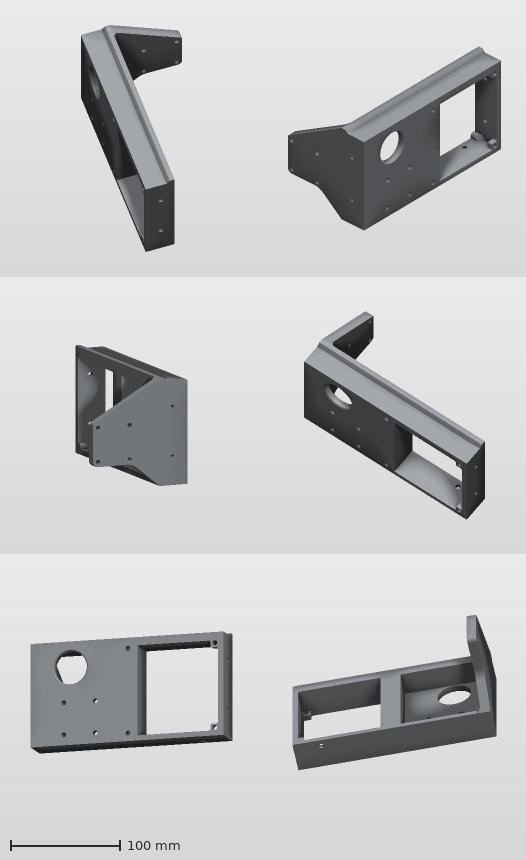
import cadquery as cq
import math

length = 185.0
total_depth = 95.0
height = 100.0
body_depth = 28.0
side_plate = 8.9

ridge_drop = 3.1
ridge_front = 23.3
roof_height = height - ridge_drop

plate_low = 22.4
plate_high = 62.2
plate_bend = 55.5
plate_low_radius = 4.6
plate_high_radius = 3.1
plate_bend_radius = 14.8
gusset = 3.7

window_left = 102.7
window_right = 179.7
window_bottom = 4.8
window_top = 89.0
front_wall = 6.7
divider_width = 18.5
divider_left = window_left - divider_width
pocket_left = side_plate + gusset

tab_left = 172.7
tab_height = 6.5
tab_thickness = 5.4
tab_fillet = 1.5

screw_diameter = 4.6
screw_left = 93.5
screw_right = 176.7
screw_low = 7.4
screw_high = 86.8
blind_depth = tab_thickness
boss_x = 177.5
boss_z = 6.7
boss_radius = 3.7
boss_tip = 15.5
lens_x = 38.3
lens_z = 72.5
lens_diameter = 31.0
lens_chamfer = 1.0
mount_left = 32.0
mount_low = 9.8
mount_pitch = 30.0

plate_hole_diameter = 4.5
plate_hole_near = 58.1
plate_hole_far = 90.0
plate_hole_low = 26.8
plate_hole_high = 58.7
left_wall_hole_diameter = 3.1
right_wall_hole_diameter = 4.5
wall_hole_y = 15.0
wall_hole_low = 27.0
wall_hole_high = 73.1
floor_hole_x = 159.2
floor_hole_y = 21.7


def block(x0, x1, y0, y1, z0, z1):
    return cq.Workplane("XY").box(x1 - x0, y1 - y0, z1 - z0, centered=False).translate((x0, y0, z0))


def y_cylinder(x, z, radius, y0, y1):
    return cq.Workplane(cq.Solid.makeCylinder(radius, y1 - y0, cq.Vector(x, y0, z), cq.Vector(0, 1, 0)))


def x_cylinder(y, z, radius, x0, x1):
    return cq.Workplane(cq.Solid.makeCylinder(radius, x1 - x0, cq.Vector(x0, y, z), cq.Vector(1, 0, 0)))


def body_outline():
    return (
        cq.Workplane("YZ")
        .moveTo(0, 0)
        .lineTo(body_depth, 0)
        .lineTo(body_depth, height)
        .lineTo(ridge_front, height)
        .lineTo(ridge_front - ridge_drop, roof_height)
        .lineTo(0, roof_height)
        .close()
    )


def tapered_plate(thickness):
    """Rear extension of the side plate, starting at the left face."""
    plate = (
        cq.Workplane("YZ")
        .moveTo(body_depth, 0)
        .lineTo(plate_bend, plate_low)
        .lineTo(total_depth, plate_low)
        .lineTo(total_depth, plate_high)
        .lineTo(body_depth, height)
        .close()
        .extrude(thickness)
    )
    reach = plate_high_radius / 10

    def corner(y, z):
        return cq.selectors.BoxSelector((0, y - reach, z - reach), (thickness, y + reach, z + reach))

    plate = plate.edges(corner(total_depth, plate_low)).fillet(plate_low_radius)
    plate = plate.edges(corner(total_depth, plate_high)).fillet(plate_high_radius)
    return plate.edges(corner(plate_bend, plate_low)).fillet(plate_bend_radius)


def gusset_strip():
    """Triangular strip between the side plate and the housing, trimmed to the plate outline."""
    strip = (
        cq.Workplane("XY")
        .moveTo(side_plate, body_depth)
        .lineTo(side_plate + gusset, body_depth)
        .lineTo(side_plate, body_depth + gusset)
        .close()
        .extrude(height)
    )
    return strip.intersect(tapered_plate(side_plate + gusset))


def window_front():
    """Window through the front skin, notched around the two corner tabs."""
    return (
        cq.Workplane("XZ")
        .moveTo(window_left, window_bottom)
        .lineTo(tab_left, window_bottom)
        .lineTo(tab_left, window_bottom + tab_height)
        .lineTo(window_right, window_bottom + tab_height)
        .lineTo(window_right, window_top - tab_height)
        .lineTo(tab_left, window_top - tab_height)
        .lineTo(tab_left, window_top)
        .lineTo(window_left, window_top)
        .close()
        .extrude(-tab_thickness)
        .edges("|Y and (not <X)")
        .fillet(tab_fillet)
    )


def rear_boss():
    """Round boss in the lower rear corner, its front end sloping back away from the corner."""
    slope_plane = cq.Plane(
        origin=(window_right, boss_tip, window_bottom),
        xDir=(1, 0, 1),
        normal=(-1, -math.sqrt(2), 1),
    )
    trim_size = 4 * body_depth
    trim = cq.Workplane(slope_plane).rect(trim_size, trim_size).extrude(trim_size)
    return y_cylinder(boss_x, boss_z, boss_radius, tab_thickness, body_depth).cut(trim)


result = body_outline().extrude(length).union(tapered_plate(side_plate)).union(gusset_strip())

result = result.cut(block(pocket_left, divider_left, front_wall, body_depth, window_bottom, window_top))
result = result.cut(block(window_left, window_right, tab_thickness, body_depth, window_bottom, window_top))
result = result.cut(window_front())
result = result.union(rear_boss())

for screw_x in (screw_left, screw_right):
    for screw_z in (screw_low, screw_high):
        is_through = screw_x == screw_right and screw_z == screw_high
        depth = body_depth if is_through else blind_depth
        result = result.cut(y_cylinder(screw_x, screw_z, screw_diameter / 2, 0, depth))

lens_radius = lens_diameter / 2
lens_rim = cq.Workplane(
    cq.Solid.makeCone(
        lens_radius + lens_chamfer,
        lens_radius,
        lens_chamfer,
        cq.Vector(lens_x, 0, lens_z),
        cq.Vector(0, 1, 0),
    )
)
result = result.cut(y_cylinder(lens_x, lens_z, lens_radius, 0, front_wall)).cut(lens_rim)

for mount_x in (mount_left, mount_left + mount_pitch):
    for mount_z in (mount_low, mount_low + mount_pitch):
        result = result.cut(y_cylinder(mount_x, mount_z, screw_diameter / 2, 0, front_wall))

for hole_y in (plate_hole_near, plate_hole_far):
    for hole_z in (plate_hole_low, plate_hole_high):
        result = result.cut(x_cylinder(hole_y, hole_z, plate_hole_diameter / 2, 0, side_plate))

for hole_z in (wall_hole_low, wall_hole_high):
    left_hole = x_cylinder(wall_hole_y, hole_z, left_wall_hole_diameter / 2, 0, pocket_left)
    right_hole = x_cylinder(wall_hole_y, hole_z, right_wall_hole_diameter / 2, window_right, length)
    result = result.cut(left_hole).cut(right_hole)

floor_hole = cq.Workplane("XY").center(floor_hole_x, floor_hole_y).circle(plate_hole_diameter / 2)
result = result.cut(floor_hole.extrude(window_bottom))